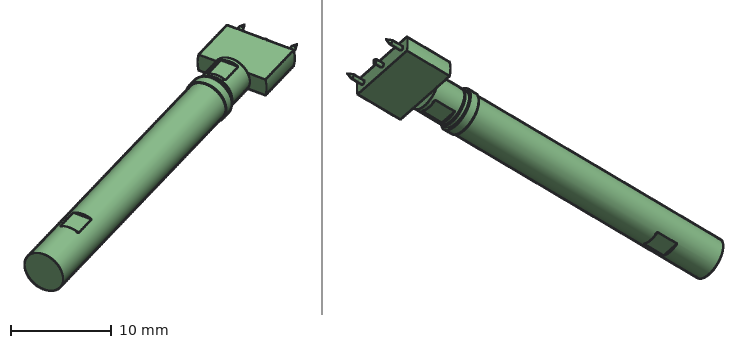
import cadquery as cq

TOTAL_LENGTH = 44.0

BARREL_DIAMETER = 4.5
COLLAR_DIAMETER = 4.7
COLLAR_START = 31.45
COLLAR_END = 32.5
NECK_DIAMETER = 4.15
NECK_END = 36.48

GROOVE_DIAMETER = 4.05
GROOVE_START = 32.95
GROOVE_WIDTH = 0.15

FLAT_LENGTH = 2.5
BARREL_FLAT_START = 4.95
BARREL_ACROSS_FLATS = 3.95
NECK_FLAT_START = 33.5
NECK_ACROSS_FLATS = 3.6

BLOCK_DIAMETER = 8.0
BLOCK_HEIGHT = 2.02
BLOCK_END = 41.98

PIN_DIAMETER = 0.5
OUTER_PIN_OFFSET = 3.05
POINT_LENGTH = 0.65
CENTER_PIN_END = 43.0
CENTER_PIN_CHAMFER = 0.1


def cylinder(diameter, start, end):
    """Cylinder parallel to Y between two positions along the axis."""
    return cq.Workplane("XZ", origin=(0, start, 0)).circle(diameter / 2).extrude(start - end)


def cut_flats(body, across_flats, start):
    """Cut two opposite flats, leaving across_flats of material between them."""
    cutter_size = COLLAR_DIAMETER
    for side in (1, -1):
        cutter = cq.Workplane("XY").box(cutter_size, FLAT_LENGTH, cutter_size).translate(
            (0, start + FLAT_LENGTH / 2, side * (across_flats + cutter_size) / 2)
        )
        body = body.cut(cutter)
    return body


def make_barrel():
    barrel = cylinder(BARREL_DIAMETER, 0, COLLAR_START)
    return cut_flats(barrel, BARREL_ACROSS_FLATS, BARREL_FLAT_START)


def make_neck():
    neck = cylinder(NECK_DIAMETER, COLLAR_END, NECK_END)
    groove_end = GROOVE_START + GROOVE_WIDTH
    groove = cylinder(NECK_DIAMETER, GROOVE_START, groove_end).cut(
        cylinder(GROOVE_DIAMETER, GROOVE_START, groove_end)
    )
    return cut_flats(neck.cut(groove), NECK_ACROSS_FLATS, NECK_FLAT_START)


def make_block():
    disc = cylinder(BLOCK_DIAMETER, NECK_END, BLOCK_END)
    slab = cq.Workplane("XY").box(
        BLOCK_DIAMETER, TOTAL_LENGTH, BLOCK_HEIGHT, centered=(True, False, True)
    )
    return disc.intersect(slab)


def make_pointed_pin(x):
    """Outer pin ending in a sharp cone: a half profile turned around its own axis."""
    shoulder = TOTAL_LENGTH - POINT_LENGTH
    radius = PIN_DIAMETER / 2
    profile = [(0, BLOCK_END), (radius, BLOCK_END), (radius, shoulder), (0, TOTAL_LENGTH)]
    pin = cq.Workplane("XY").polyline(profile).close().revolve(360, (0, 0), (0, 1))
    return pin.translate((x, 0, 0))


def make_center_pin():
    pin = cylinder(PIN_DIAMETER, BLOCK_END, CENTER_PIN_END)
    return pin.faces(">Y").chamfer(CENTER_PIN_CHAMFER)


result = (
    make_barrel()
    .union(cylinder(COLLAR_DIAMETER, COLLAR_START, COLLAR_END))
    .union(make_neck())
    .union(make_block())
    .union(make_center_pin())
)
for pin_x in (-OUTER_PIN_OFFSET, OUTER_PIN_OFFSET):
    result = result.union(make_pointed_pin(pin_x))